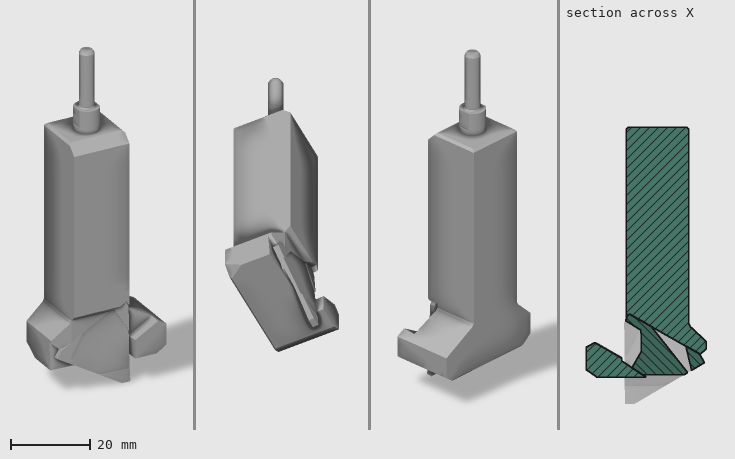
import cadquery as cq
import math


shank_width = 15.9
half_shank = shank_width / 2
shank_top = 63.2
top_chamfer = 0.6
side_chamfer = 2.8

collar_diameter = 6.8
collar_height = 6.3
collar_across_flats = 6.0
flat_height = 4.9
rod_diameter = 4.0
rod_top = 85.3
rod_chamfer = 0.4
rod_chamfer_height = 0.7
rod_base_chamfer = 0.4

head_width = 17.0
head_right = head_width - half_shank
head_front = -13.0
head_back = 18.0
neck_z = 13.2
front_shoulder_z = 8.5
back_shoulder_z = 7.6
back_chamfer_depth = 2.8
back_chamfer_height = 1.9
bottom_edge_chamfer = 0.55
shoulder_chamfer = 0.5
corner_cut_x = 4.6
corner_cut_y = 3.4
corner_cut_z = 2.8

neck_right = 6.5
relief_top = 15.1
jaw_front_x = 5.1
stop_y = 9.0
stop_z = 5.0
stop_angle = 30

seat_x = 5.15
seat_drop = 0.05
lean_about_y = -3.5
turn_about_z = -2.3
insert_thickness = 1.8
insert_center_y = 1.2
insert_center_z = 4.3
edge_distance = 7.1
tip_distance = 11.0
tip_length = 2.4
tip_count = 3
tip_inner_step = 0.55
tip_outer_step = 0.3
inner_step_start = 3.7
inner_step_end = 6.4
tip_clearance_angle = 3.0
outer_step_distance = 7.55
pocket_front_z = 7.7

margin = 4.6
selection_margin = 0.1


def turned(point, turns):
    """Turn a point of the insert outline about the insert center by whole thirds of a circle."""
    angle = math.radians(360 / tip_count * turns)
    y, z = point
    return (
        insert_center_y + y * math.cos(angle) - z * math.sin(angle),
        insert_center_z + y * math.sin(angle) + z * math.cos(angle),
    )


def place(body):
    """Move a body from the upright insert frame to the tilted seat in the head."""
    leaning = body.rotate((0, 0, 0), (0, 1, 0), lean_about_y)
    return leaning.rotate((0, 0, 0), (0, 0, 1), turn_about_z).translate((seat_x, 0, -seat_drop))


tip_corner = (edge_distance, -tip_distance)
edge_middle = (edge_distance, 0)
tip_heel = (edge_distance - tip_length, -tip_distance)


def plate(thickness):
    """The full insert outline, three equal edges with a square-cut tip at the end of each."""
    outline = []
    for turn in range(tip_count):
        outline += [turned(tip_heel, turn), turned(tip_corner, turn)]
    return cq.Workplane("YZ").polyline(outline).close().extrude(thickness)


def tip_zone(profile):
    """A bar along Y across the lower tip, its profile given in X and depth below the insert center."""
    points = [(x, insert_center_z - distance) for x, distance in profile]
    return cq.Workplane("XZ").polyline(points).close().extrude(2 * tip_distance, both=True)


def on_every_tip(bar):
    """Copies of a bar for the lower tip, one for each tip of the insert."""
    axis_start = (0, insert_center_y, insert_center_z)
    axis_end = (1, insert_center_y, insert_center_z)
    return [bar.rotate(axis_start, axis_end, 360 / tip_count * turn) for turn in range(tip_count)]


def make_insert():
    far = tip_distance + margin
    tip_outer = insert_thickness + tip_outer_step
    inner_relief = tip_zone([
        (0, inner_step_start),
        (tip_inner_step, inner_step_end),
        (tip_inner_step, far),
        (-margin, far),
        (-margin, inner_step_start),
    ])
    cutting_edge = (tip_inner_step, *turned(tip_corner, 0))
    above_cutting_edge = (tip_inner_step, *turned(edge_middle, 0))
    inner_relief = inner_relief.rotate(cutting_edge, above_cutting_edge, tip_clearance_angle)
    tip_pad = tip_zone([
        (tip_inner_step, outer_step_distance),
        (tip_outer, outer_step_distance),
        (tip_outer, far),
        (tip_inner_step, far),
    ])
    body = plate(insert_thickness)
    for pad in on_every_tip(tip_pad):
        body = body.union(plate(tip_outer).intersect(pad))
    for relief in on_every_tip(inner_relief):
        body = body.cut(relief)
    return place(body)


def make_shank():
    shank = (
        cq.Workplane("XY")
        .workplane(offset=neck_z)
        .rect(shank_width, shank_width)
        .extrude(shank_top - neck_z)
    )
    shank = shank.faces(">Z").edges(">X").chamfer(side_chamfer)
    return shank.faces(">Z").edges("<X or >Y or <Y").chamfer(top_chamfer)


def make_adjusting_rod():
    collar_top = shank_top + collar_height
    collar = cq.Workplane("XY").workplane(offset=shank_top).circle(collar_diameter / 2).extrude(collar_height)
    flats = (
        cq.Workplane("XY")
        .workplane(offset=collar_top - flat_height)
        .rect(collar_diameter, collar_across_flats)
        .extrude(flat_height)
    )
    round_base = collar.intersect(
        cq.Workplane("XY")
        .workplane(offset=shank_top)
        .rect(2 * collar_diameter, 2 * collar_diameter)
        .extrude(collar_height - flat_height)
    )
    rod_radius = rod_diameter / 2
    rod_profile = [
        (0, shank_top),
        (rod_radius + rod_base_chamfer, shank_top),
        (rod_radius + rod_base_chamfer, collar_top),
        (rod_radius, collar_top + rod_base_chamfer),
        (rod_radius, rod_top - rod_chamfer_height),
        (rod_radius - rod_chamfer, rod_top),
        (0, rod_top),
    ]
    rod = cq.Workplane("XZ").polyline(rod_profile).close().revolve(360, (0, 0, 0), (0, 1, 0))
    return round_base.union(collar.intersect(flats)).union(rod)


def make_head():
    outline = [
        (head_front, 0),
        (head_front, front_shoulder_z),
        (-half_shank, neck_z),
        (half_shank, neck_z),
        (head_back, back_shoulder_z),
        (head_back, back_chamfer_height),
        (head_back - back_chamfer_depth, 0),
    ]
    head = cq.Workplane("YZ").workplane(offset=-half_shank).polyline(outline).close().extrude(head_width)
    return head.faces("<X").edges("<Z").chamfer(bottom_edge_chamfer)


def corner_cut():
    """Tetrahedron that bevels the lower front corner on the -X side."""
    corner = cq.Vector(-half_shank, head_front, 0)
    along_x = corner + cq.Vector(corner_cut_x, 0, 0)
    along_y = corner + cq.Vector(0, corner_cut_y, 0)
    along_z = corner + cq.Vector(0, 0, corner_cut_z)
    triangles = [
        (corner, along_x, along_y),
        (corner, along_y, along_z),
        (corner, along_z, along_x),
        (along_x, along_y, along_z),
    ]
    faces = [cq.Face.makeFromWires(cq.Wire.makePolygon(list(t), close=True)) for t in triangles]
    return cq.Workplane(cq.Solid.makeSolid(cq.Shell.makeShell(faces)))


def neck_relief():
    """Thins the head below the shank, with a 45 degree run-out into the shank side."""
    relief_bottom = relief_top - (half_shank - neck_right)
    outer = head_right + margin
    profile = [
        (neck_right, -margin),
        (neck_right, relief_bottom),
        (half_shank, relief_top),
        (outer, relief_top),
        (outer, -margin),
    ]
    cutter = cq.Workplane("XZ", origin=(0, stop_y, 0)).polyline(profile).close()
    return cutter.extrude(stop_y - head_front + margin)


def jaw_bevel():
    """Slants the +X side of the head toward its front end."""
    plan = [
        (neck_right, -half_shank),
        (jaw_front_x, head_front),
        (neck_right, head_front),
    ]
    return cq.Workplane("XY").polyline(plan).close().extrude(neck_z)


def insert_pocket():
    """Seat for the insert, open to +X, with a stop block behind the insert's long edge."""
    back = head_back + margin
    slope_end_z = stop_z + (back - stop_y) * math.tan(math.radians(stop_angle))
    top_heel = turned(tip_heel, 1)
    top_corner = turned(tip_corner, 1)
    nose_heel = turned(tip_heel, 2)
    outline = [
        (head_front - margin, -margin),
        (head_front - margin, pocket_front_z),
        (head_front, pocket_front_z),
        nose_heel,
        top_corner,
        top_heel,
        (back, top_heel[1]),
        (back, slope_end_z),
        (stop_y, stop_z),
        (stop_y, -margin),
    ]
    return place(cq.Workplane("YZ").polyline(outline).close().extrude(head_width))


def make_holder():
    holder = make_shank().union(make_head())
    shoulder_edges = cq.selectors.BoxSelector(
        (-half_shank, -half_shank - selection_margin, neck_z - selection_margin),
        (half_shank, half_shank + selection_margin, neck_z + selection_margin),
    )
    holder = holder.edges(shoulder_edges).edges("|X").chamfer(shoulder_chamfer)
    holder = holder.union(make_adjusting_rod())
    for cutter in (corner_cut(), neck_relief(), jaw_bevel(), insert_pocket()):
        holder = holder.cut(cutter)
    return holder


holder = make_holder()
insert = make_insert()

result = cq.Compound.makeCompound([holder.val(), insert.val()])